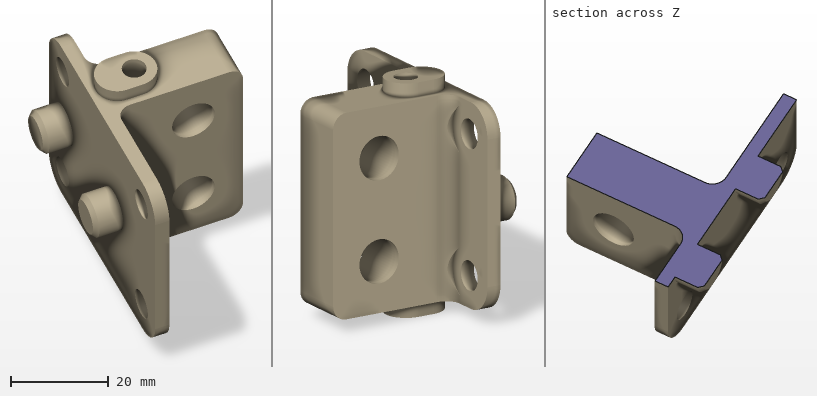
import cadquery as cq
import math

plate_width = 53.975
plate_height = 44.45
plate_thickness = 3.175
plate_corner_radius = 6.35

arm_width = 12.7
arm_reach = 31.75
arm_corner_radius = 3.175
root_fillet_radius = 3.175

peg_diameter = 9.525
peg_length = 6.35
peg_chamfer = 1.0
peg_spacing = 25.4

plate_hole_diameter = 6.5
plate_hole_inset = 6.9875
spotface_diameter = 12.7

cross_hole_diameter = 9.525
cross_hole_spacing = plate_height / 2
cross_hole_inset = cross_hole_spacing / 2

boss_width = 9.525
boss_height = 3.0
boss_front_center = plate_thickness + root_fillet_radius
boss_rear_center = 10.16
drill_diameter = 5.1
drill_depth = 12.7
drill_point_angle = 118.0

left_peg_inset = 7.62
plate_left = -peg_spacing / 2 - left_peg_inset
plate_center_x = plate_left + plate_width / 2


def cylinder_along_y(x, z, start_y, length, diameter):
    direction = cq.Vector(0, 1, 0)
    return cq.Workplane(cq.Solid.makeCylinder(diameter / 2, length, cq.Vector(x, start_y, z), direction))


def make_plate():
    return (
        cq.Workplane("XY")
        .box(plate_width, plate_thickness, plate_height)
        .edges("|Y")
        .fillet(plate_corner_radius)
        .translate((plate_center_x, plate_thickness / 2, 0))
    )


def make_arm():
    return (
        cq.Workplane("XY")
        .box(arm_width, arm_reach, plate_height)
        .edges("|X and >Y")
        .fillet(arm_corner_radius)
        .translate((0, arm_reach / 2, 0))
    )


def make_root_fillet(side):
    """Concave strip between plate and arm; side is -1 for -X and +1 for +X."""
    arm_face = side * arm_width / 2
    outer_x = arm_face + side * root_fillet_radius
    outer_y = plate_thickness + root_fillet_radius
    arc_reach = root_fillet_radius * (1 - math.sqrt(0.5))
    return (
        cq.Workplane("XY")
        .workplane(offset=-plate_height / 2)
        .moveTo(arm_face, plate_thickness)
        .lineTo(outer_x, plate_thickness)
        .threePointArc((arm_face + side * arc_reach, plate_thickness + arc_reach), (arm_face, outer_y))
        .close()
        .extrude(plate_height)
    )


def make_peg(x):
    peg = cylinder_along_y(x, 0, -peg_length, peg_length, peg_diameter)
    return peg.faces("<Y").chamfer(peg_chamfer)


def make_bosses():
    """Slot-shaped pads standing on the top and bottom of the arm."""
    total_height = plate_height + 2 * boss_height
    straight_length = boss_rear_center - boss_front_center
    return (
        cq.Workplane("XY")
        .workplane(offset=-total_height / 2)
        .center(0, (boss_front_center + boss_rear_center) / 2)
        .slot2D(straight_length + boss_width, boss_width, 90)
        .extrude(total_height)
    )


def make_drilled_hole(side):
    """Blind hole with a conical tip; side is +1 for the top boss and -1 for the bottom."""
    radius = drill_diameter / 2
    tip_length = radius / math.tan(math.radians(drill_point_angle / 2))
    face_z = side * (plate_height / 2 + boss_height)
    shoulder_z = face_z - side * drill_depth
    inward = cq.Vector(0, 0, -side)
    bore = cq.Solid.makeCylinder(radius, drill_depth, cq.Vector(0, boss_rear_center, face_z), inward)
    tip = cq.Solid.makeCone(radius, 0, tip_length, cq.Vector(0, boss_rear_center, shoulder_z), inward)
    return cq.Workplane(bore).union(cq.Workplane(tip))


def make_cross_holes():
    return (
        cq.Workplane("YZ")
        .center(arm_reach - cross_hole_inset, 0)
        .rarray(1, cross_hole_spacing, 1, 2)
        .circle(cross_hole_diameter / 2)
        .extrude(arm_width / 2, both=True)
    )


def make_plate_hole(x, z):
    """Through hole plus the clearance above the rear face of the plate."""
    through = cylinder_along_y(x, z, 0, plate_thickness, plate_hole_diameter)
    clearance = cylinder_along_y(x, z, plate_thickness, root_fillet_radius, spotface_diameter)
    return through.union(clearance)


result = make_plate().union(make_arm()).union(make_bosses())

for side in (-1, 1):
    result = result.union(make_root_fillet(side))
    result = result.union(make_peg(side * peg_spacing / 2))

result = result.cut(make_cross_holes())

for side in (-1, 1):
    result = result.cut(make_drilled_hole(side))

hole_offset_x = plate_width / 2 - plate_hole_inset
hole_offset_z = plate_height / 2 - plate_hole_inset
for x_side in (-1, 1):
    for z_side in (-1, 1):
        hole = make_plate_hole(plate_center_x + x_side * hole_offset_x, z_side * hole_offset_z)
        result = result.cut(hole)